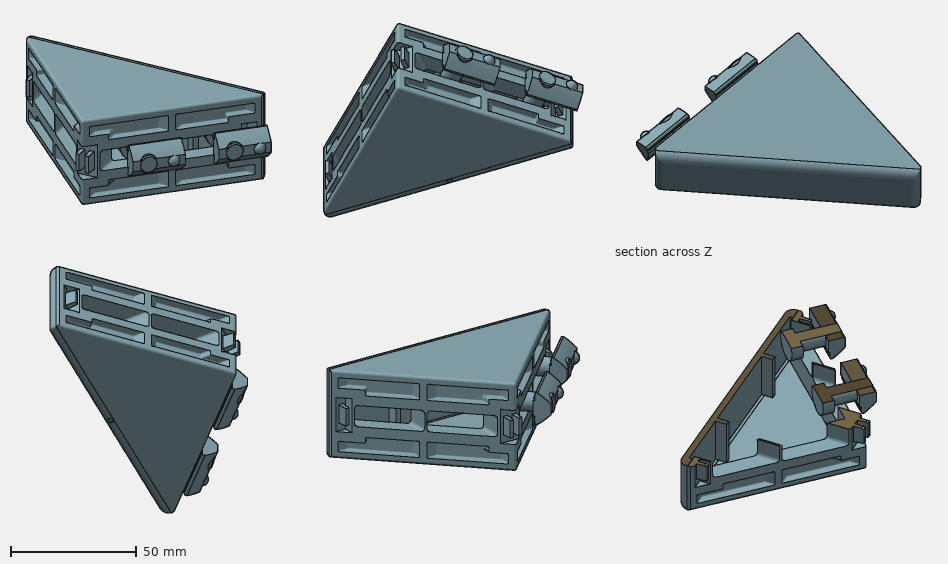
import cadquery as cq
import math

ROOT_2 = math.sqrt(2)
OUT = cq.Vector(-1, 1, 0)
ALONG = cq.Vector(1, 1, 0)

height = 38.0
half_height = height / 2
half_length = 53.1
seam_out = 54.6
edge_round = 1.1
flange_thickness = 6.95
side_thickness = 3.0
cavity_half_height = half_height - side_thickness

slot_spans = [(-65.6, -37.1), (-36.2, -7.5)]
slot_height = 9.2
slot_depth = flange_thickness + 0.9
slot_round = 1.6

pocket_length = 33.1
pocket_depth = 3.2
pocket_round = 0.5
pocket_outer_z = 16.1
pocket_tail_z = 11.6
pocket_inner_z = 9
end_pocket_start = -72.3
end_tail_length = 11.1
corner_pocket_start = -36.2
corner_tail_length = 8.0

notch_height = 14.8
end_notch_span = (-73.2, -66.6)
corner_notch_size = 6.4
tab_length = 4.5
tab_thickness = 2.1
tab_height = 8.0
tab_taper = 3.5
end_tab_along = 49.3
corner_tab_along = 2.1

cover_out = 58.7
cover_round = 3.6
cover_corner_round = 0.5
cover_recess_depth = 1.3
cover_recess_half_length = 47.85
rib_along = 22.0
rib_thickness = 2.3
rib_height = 4.9
pry_notch_out = 56
pry_notch_radius = 1.1
pry_notch_depth = 0.6

screw_places = [24.6, 60.5]
screw_z = 1.1
screw_radius = 4.0
screw_tip_x = 10.8
screw_chamfer = 0.5
head_radius = 6.5
head_height = 5.0

nut_length = 21.9
nut_offset = 4.3
nut_back_x = 4.3
nut_half_height = 6.9
nut_lip_width = 1.1
nut_lip_round = 0.5
nut_bulge_x = 8.3
nut_bulge_half_height = 4.7
nut_front_half_height = 2.3
key_x = 3.6
key_half_height = 3.5
grip_x = 4.1
grip_z = 5.0
grip_height = 1.1

ball_radius = 2.5
ball_x = 10.2
ball_offset = 10.6


def from_corner(along, out):
    """X and Y of a point given along and out."""
    return ((along - out) / ROOT_2, (along + out) / ROOT_2)


def layer(points, low, high):
    """Upright prism over an XY outline between two heights."""
    return cq.Workplane("XY", origin=(0, 0, low)).polyline(points).close().extrude(high - low)


def prism(points, half_depth):
    """Upright prism over an XY outline, centred on Z = 0."""
    return layer(points, -half_depth, half_depth)


def block(along_span, out_span, half_depth):
    """Upright block set square to the sloping side."""
    (a0, a1), (o0, o1) = along_span, out_span
    corners = [from_corner(a0, o0), from_corner(a1, o0), from_corner(a1, o1), from_corner(a0, o1)]
    return prism(corners, half_depth)


def mirrored(feature):
    """The same feature of the Y = 0 flange on the X = 0 flange."""
    return cq.Workplane(feature.val().mirror(ALONG))


def bracket_blank():
    end_distance = half_length * ROOT_2
    outline = [
        (0, 0),
        (0, end_distance),
        from_corner(half_length, seam_out),
        from_corner(-half_length, seam_out),
        (-end_distance, 0),
    ]
    flange_edges = "|X or |Y or (|Z and >(1, -1, 0))"
    return prism(outline, half_height).edges(flange_edges).fillet(edge_round)


def cavity():
    near = flange_thickness
    far = seam_out * ROOT_2 - flange_thickness
    return prism([(-near, near), (-near, far), (-far, near)], cavity_half_height)


def screw_slot(start, end):
    """Rounded slot that runs at 45 degrees through the flange into the cavity."""
    size = (end - start, slot_depth, slot_height)
    straight = cq.Workplane("XY").box(*size, centered=(True, False, True)).edges("|Y").fillet(slot_round)
    mouth = straight.faces("<Y").val().translate(cq.Vector((start + end) / 2, 0, 0))
    return cq.Workplane(cq.Solid.extrudeLinear(mouth, OUT * slot_depth))


def pocket(start, shoulder):
    """Pocket above the mid-plane with 45 degree ends, narrowed to a tail beside a shoulder."""
    end = start + pocket_length
    profile = [
        (start, 0),
        (end, 0),
        (end - pocket_depth, pocket_depth),
        (start + pocket_depth, pocket_depth),
    ]
    opening = layer(profile, pocket_inner_z, pocket_outer_z)
    opening = opening.cut(layer(shoulder, pocket_inner_z, pocket_tail_z))
    return opening.edges("not <Y").fillet(pocket_round)


def end_pocket():
    """Pocket by the acute end, whose shoulder stops square to the flange."""
    start = end_pocket_start
    step = start + end_tail_length
    return pocket(start, [(start, 0), (step, 0), (step, pocket_depth), (start, pocket_depth)])


def corner_pocket():
    """Pocket by the outer corner, whose shoulder stops at 45 degrees like the pocket's ends."""
    end = corner_pocket_start + pocket_length
    step = end - corner_tail_length
    shoulder = [(step, 0), (end, 0), (end, pocket_depth), (step - pocket_depth, pocket_depth)]
    return pocket(corner_pocket_start, shoulder)


def end_notch():
    start, end = end_notch_span
    middle = (start + end) / 2
    return prism([(start, 0), (end, 0), (middle, (end - start) / 2)], notch_height / 2)


def corner_notch():
    size = corner_notch_size
    return prism([(0, 0), (0, size), (-size, 0)], notch_height / 2)


def tab(along, floor_out):
    """Drafted tab standing on a notch floor and pointing away from the cover."""
    x, y = from_corner(along, floor_out)
    floor = cq.Plane(origin=(x, y, 0), xDir=ALONG.toTuple(), normal=(-OUT).toTuple())
    return cq.Workplane(floor).rect(tab_thickness, tab_height).extrude(tab_length, taper=tab_taper)


def make_bracket(screws):
    bracket = bracket_blank().cut(cavity())
    cuts = [screw_slot(start, end) for start, end in slot_spans]
    for upper in (end_pocket(), corner_pocket()):
        cuts += [upper, upper.mirror("XY")]
    cuts.append(end_notch())
    for feature in cuts:
        bracket = bracket.cut(feature).cut(mirrored(feature))
    bracket = bracket.cut(corner_notch())

    end_floor_out = -end_notch_span[0] / ROOT_2
    corner_floor_out = corner_notch_size / ROOT_2
    for side in (-1, 1):
        bracket = bracket.union(tab(side * end_tab_along, end_floor_out))
        bracket = bracket.union(tab(side * corner_tab_along, corner_floor_out))
    for screw in screws:
        bracket = bracket.cut(screw)
    return bracket


def make_cover():
    cover = block((-half_length, half_length), (seam_out, cover_out), half_height)
    cover = cover.edges("|(-1, 1, 0)").fillet(cover_corner_round)
    cover = cover.faces(">(-1, 1, 0)").edges().fillet(cover_round)
    recess_out = seam_out + cover_recess_depth
    recess_span = (-cover_recess_half_length, cover_recess_half_length)
    cover = cover.cut(block(recess_span, (seam_out, recess_out), cavity_half_height))
    for side in (-1, 1):
        middle = side * rib_along
        rib_span = (middle - rib_thickness / 2, middle + rib_thickness / 2)
        cover = cover.union(block(rib_span, (recess_out - rib_height, recess_out), cavity_half_height))
    x, y = from_corner(0, pry_notch_out)
    pry_notch = cq.Workplane("XY", origin=(x, y, -half_height)).circle(pry_notch_radius)
    return cover.cut(pry_notch.extrude(pry_notch_depth))


def make_screw(y):
    axis = cq.Workplane("YZ", origin=(-flange_thickness, y, screw_z))
    head = axis.circle(head_radius).extrude(-head_height)
    shank = axis.circle(screw_radius).extrude(screw_tip_x + flange_thickness)
    return head.union(shank.faces(">X").chamfer(screw_chamfer))


def make_ball(y):
    return cq.Workplane("XY").sphere(ball_radius).translate((ball_x, y + ball_offset, screw_z))


def make_nut(y, screw, ball):
    middle = y + nut_offset
    lip_x = nut_back_x + nut_lip_width
    section = cq.Workplane("XZ", origin=(0, middle, screw_z))
    nut = (
        section.moveTo(nut_back_x, -nut_half_height)
        .lineTo(lip_x, -nut_half_height)
        .threePointArc((nut_bulge_x, -nut_bulge_half_height), (screw_tip_x, -nut_front_half_height))
        .lineTo(screw_tip_x, nut_front_half_height)
        .threePointArc((nut_bulge_x, nut_bulge_half_height), (lip_x, nut_half_height))
        .lineTo(nut_back_x, nut_half_height)
        .close()
        .extrude(nut_length / 2, both=True)
    )
    nut = nut.edges("|Y and <X").fillet(nut_lip_round)
    key_depth = nut_back_x - key_x
    key = cq.Workplane("XY").box(key_depth, nut_length, 2 * key_half_height)
    nut = nut.union(key.translate((key_x + key_depth / 2, middle, screw_z)))
    grip_depth = nut_back_x - grip_x
    grip = cq.Workplane("XY").box(grip_depth, nut_length, grip_height)
    for side in (-1, 1):
        nut = nut.union(grip.translate((grip_x + grip_depth / 2, middle, screw_z + side * grip_z)))
    return nut.cut(screw).cut(ball)


screws = [make_screw(y) for y in screw_places]
balls = [make_ball(y) for y in screw_places]
nuts = [make_nut(y, screw, ball) for y, screw, ball in zip(screw_places, screws, balls)]
bracket = make_bracket(screws)
cover = make_cover()

bodies = [bracket, cover, *screws, *nuts, *balls]
result = cq.Compound.makeCompound([body.solids().val() for body in bodies])